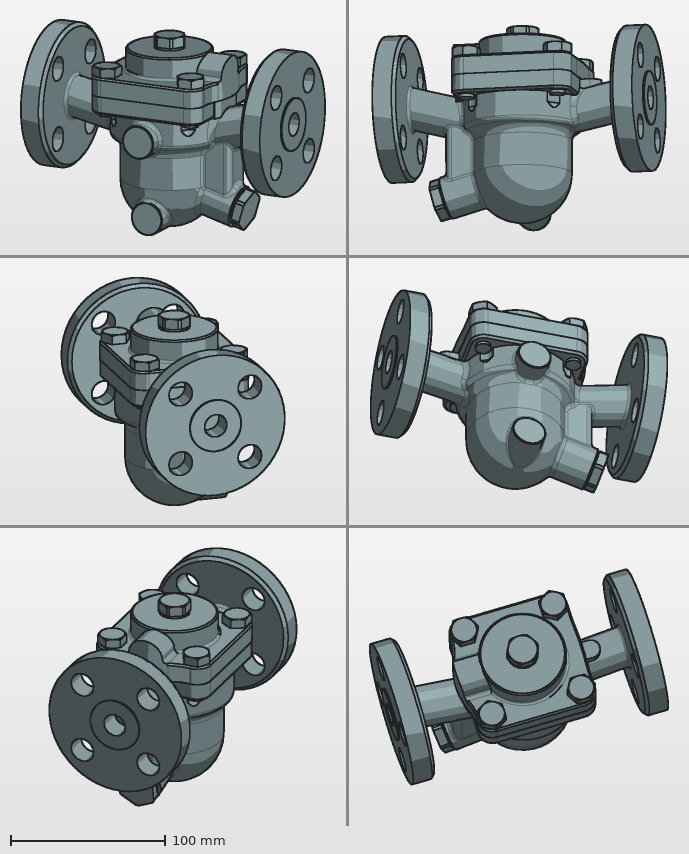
import cadquery as cq
import math

OVERALL_LENGTH = 175.0
FLANGE_DIAMETER = 95.0
FLANGE_THICKNESS = 15.0
FLANGE_CHAMFER = 2.3
RAISED_FACE_DIAMETER = 34.8
RAISED_FACE_HEIGHT = 1.0
BORE_DIAMETER = 15.0
FLANGE_HOLE_DIAMETER = 16.0
FLANGE_HOLE_OFFSET = 23.6

PIPE_DIAMETER = 27.0
INLET_SLOPE = 11.3
OUTLET_SLOPE = 14.5
PIPE_LENGTH = 49.0
PIPE_EMBED = 5.2
PIPE_FLANGE_FILLET = 2.0
PIPE_ROOT_NEAR_X = 21.0
PIPE_ROOT_FAR_X = 52.5
PIPE_BODY_FILLET = 4.4

AXIS_X = -2.5
NECK_RADIUS = 38.5
NECK_BOTTOM = -14.9
BOWL_RADIUS = 32.0
BOWL_TOP = -25.0
STEP_CONCAVE_SHARE = 0.66
DOME_BOTTOM = -78.4
DOME_CENTRE_Z = DOME_BOTTOM + BOWL_RADIUS

PLATE_BOTTOM = 1.4
PLATE_JOINT = 13.5
PLATE_TOP = 26.0
PLATE_HALF_X = 39.7
PLATE_HALF_Y = 40.2
PLATE_CORNER_RADIUS = 9.6
BODY_FLANGE_INSET = 0.2
COVER_CHAMFER = 1.2
BODY_FLANGE_CHAMFER = 1.5
COVER_BULGE_RADIUS = 45.2
BODY_BULGE_RADIUS = 43.2
BULGE_HALF_WIDTH = 15.4
FLARE_HALF_WIDTH = 29.8
COVER_BOW = 0.7
COVER_BOW_HALF_WIDTH = 17.5

BONNET_DIAMETER = 56.5
BONNET_TOP = 41.1
BONNET_FOOT_FILLET = 1.8
BONNET_EDGE_CHAMFER = 1.0
TOP_PLUG_DIAMETER = 21.0
TOP_PLUG_NECK_DIAMETER = 20.0
TOP_PLUG_BASE = 42.5
TOP_PLUG_ACROSS_FLATS = 19.0
TOP_PLUG_TURN = 32.0
TOP_PLUG_TOP = 49.5
RIDGE_RADIUS = 12.0
RIDGE_TOP = 40.6
RIDGE_FOOT_FILLET = 3.0

HEAD_BEVEL_ANGLE = 30.0

BOLT_OFFSET = 30.3
BOLT_HEAD_ACROSS_FLATS = 16.5
BOLT_HEAD_HEIGHT = 6.3
BOLT_DIAMETER = 10.0
BOLT_END = -0.9
RELIEF_RADIUS = 6.6
RELIEF_SHOULDER = -5.2
RELIEF_TIP = -15.8
BOLTS = ((-1, -1, 0), (1, -1, 30), (-1, 1, 30), (1, 1, 0))

BOSS_DIAMETER = 22.0
BOSS_CHAMFER = 0.5
UPPER_BOSS_Z = -11.9
UPPER_BOSS_FACE_Y = -46.2
UPPER_BOSS_FILLET = 2.6
LOWER_BOSS_Z = -66.3
LOWER_BOSS_FACE_Y = -33.5
LOWER_BOSS_FILLET = 2.5

STRAINER_DIAMETER = 28.0
STRAINER_SLOPE = 15.0
STRAINER_END_X = 48.0
STRAINER_END_Z = -60.0
STRAINER_LENGTH = 42.0
STRAINER_FILLET = 3.5
SEAL_DIAMETER = 23.8
SEAL_THICKNESS = 1.2
STRAINER_PLUG_ACROSS_FLATS = 24.3
STRAINER_PLUG_DIAMETER = 27.0
STRAINER_PLUG_THICKNESS = 6.3
STRAINER_PLUG_TURN = -3.0
RIB_END_X = 46.7
RIB_HALF_WIDTH = 11.7
RIB_CORNER_RADIUS = 4.4
RIB_ROOT_X = 8.8
RIB_FILLET = 3.0

LUG_END_X = -54.8
LUG_WIDTH = 12.2
LUG_TOP = 13.1
LUG_BOTTOM = 0.0

FLANGE_BACK_X = OVERALL_LENGTH / 2 - RAISED_FACE_HEIGHT - FLANGE_THICKNESS
PIPE_RADIUS = PIPE_DIAMETER / 2
BOSS_RADIUS = BOSS_DIAMETER / 2
STRAINER_RADIUS = STRAINER_DIAMETER / 2
MARGIN = 0.2


def upright(z):
    """Horizontal workplane on the body axis at height z."""
    return cq.Workplane("XY", origin=(AXIS_X, 0, z))


def inclined(x, z, slope, side):
    """Workplane at (x, z), facing along side * X and dropped by slope degrees."""
    drop = math.radians(slope)
    normal = (side * math.cos(drop), 0, -math.sin(drop))
    return cq.Workplane(cq.Plane(origin=(x, 0, z), xDir=(0, 1, 0), normal=normal))


def edges_inside(low, high):
    """Selector for the edges that lie wholly inside a box."""
    return cq.selectors.BoxSelector(low, high, boundingbox=True)


def bowl_and_neck():
    """Spherical-bottomed bowl that swells into the neck through two opposed arcs."""
    step_width = NECK_RADIUS - BOWL_RADIUS
    step_height = NECK_BOTTOM - BOWL_TOP
    diagonal = BOWL_RADIUS * math.sqrt(0.5)
    mid_radius = BOWL_RADIUS + STEP_CONCAVE_SHARE * step_width
    mid_z = BOWL_TOP + STEP_CONCAVE_SHARE * step_height
    profile = (
        cq.Workplane("XZ", origin=(AXIS_X, 0, 0))
        .moveTo(0, DOME_BOTTOM)
        .threePointArc((diagonal, DOME_CENTRE_Z - diagonal), (BOWL_RADIUS, DOME_CENTRE_Z))
        .lineTo(BOWL_RADIUS, BOWL_TOP)
        .tangentArcPoint((mid_radius, mid_z), relative=False)
        .tangentArcPoint((NECK_RADIUS, NECK_BOTTOM), relative=False)
        .lineTo(NECK_RADIUS, PLATE_JOINT)
        .lineTo(0, PLATE_JOINT)
        .close()
    )
    return profile.revolve(360, (0, 0, 0), (0, 1, 0))


def add_pipe(body, side, slope):
    """Pipe from a flange down into the neck, with a fillet around its root."""
    start = inclined(side * FLANGE_BACK_X, 0, slope, -side).workplane(offset=-PIPE_EMBED)
    pipe = start.circle(PIPE_RADIUS).extrude(PIPE_EMBED + PIPE_LENGTH)
    near, far = sorted((side * PIPE_ROOT_NEAR_X, side * PIPE_ROOT_FAR_X))
    reach = PIPE_RADIUS + MARGIN
    root = edges_inside((near, -reach, DOME_CENTRE_Z), (far, reach, PLATE_JOINT - MARGIN))
    return body.union(pipe).edges(root).fillet(PIPE_BODY_FILLET)


def add_rib(body):
    """Upright rib between the outlet pipe axis and the strainer axis."""

    def pipe_axis_z(x):
        return (x - FLANGE_BACK_X) * math.tan(math.radians(OUTLET_SLOPE))

    def strainer_axis_z(x):
        return STRAINER_END_Z - (x - STRAINER_END_X) * math.tan(math.radians(STRAINER_SLOPE))

    rib = (
        cq.Workplane("XZ", origin=(0, RIB_HALF_WIDTH, 0))
        .moveTo(RIB_ROOT_X, pipe_axis_z(RIB_ROOT_X))
        .lineTo(RIB_END_X, pipe_axis_z(RIB_END_X))
        .lineTo(RIB_END_X, strainer_axis_z(RIB_END_X))
        .lineTo(RIB_ROOT_X, strainer_axis_z(RIB_ROOT_X))
        .close()
        .extrude(2 * RIB_HALF_WIDTH)
        .edges("|Z and >X")
        .fillet(RIB_CORNER_RADIUS)
    )
    reach = RIB_HALF_WIDTH + MARGIN
    root_top = pipe_axis_z(RIB_END_X) + MARGIN
    root_bottom = strainer_axis_z(RIB_ROOT_X)
    root = edges_inside((RIB_ROOT_X, -reach, root_bottom), (RIB_END_X + MARGIN, reach, root_top))
    return body.union(rib).edges(root).fillet(RIB_FILLET)


def add_strainer_neck(body):
    """Inclined strainer neck, filleted into the bowl and the rib."""
    end = inclined(STRAINER_END_X, STRAINER_END_Z, STRAINER_SLOPE, 1)
    neck = end.circle(STRAINER_RADIUS).extrude(-STRAINER_LENGTH)
    reach = STRAINER_RADIUS + RIB_FILLET
    root_top = STRAINER_END_Z + STRAINER_RADIUS + RIB_FILLET
    root = edges_inside((RIB_ROOT_X, -reach, DOME_BOTTOM), (RIB_END_X + MARGIN, reach, root_top))
    return body.union(neck).edges(root).fillet(STRAINER_FILLET)


def add_boss(body, z, face_y, root_fillet):
    """Round boss facing -Y, chamfered at its face and filleted into the body."""
    boss = cq.Workplane("XZ", origin=(AXIS_X, face_y, z)).circle(BOSS_RADIUS).extrude(face_y)
    boss = boss.faces("<Y").edges().chamfer(BOSS_CHAMFER)
    reach = BOSS_RADIUS + MARGIN
    front = face_y + BOSS_CHAMFER + MARGIN
    root = edges_inside((AXIS_X - reach, front, z - reach), (AXIS_X + reach, 0, z + reach))
    return body.union(boss).edges(root).fillet(root_fillet)


def body_flange():
    """Lower plate, chamfered underneath, with a round bulge over the outlet."""
    height = PLATE_JOINT - PLATE_BOTTOM
    size_x = 2 * (PLATE_HALF_X - BODY_FLANGE_INSET)
    size_y = 2 * (PLATE_HALF_Y - BODY_FLANGE_INSET)
    square = upright(PLATE_BOTTOM).rect(size_x, size_y).extrude(height)
    square = square.edges("|Z").fillet(PLATE_CORNER_RADIUS)
    square = square.faces("<Z").edges().chamfer(BODY_FLANGE_CHAMFER)
    bulge = upright(PLATE_BOTTOM).circle(BODY_BULGE_RADIUS).extrude(height)
    outlet_side = (
        upright(PLATE_BOTTOM)
        .center(BODY_BULGE_RADIUS / 2, 0)
        .rect(BODY_BULGE_RADIUS, 2 * BULGE_HALF_WIDTH)
        .extrude(height)
    )
    return square.union(bulge.intersect(outlet_side))


def cover():
    """Upper plate: bulged and flared over the outlet, slightly bowed over the inlet."""
    bulge_x = math.sqrt(COVER_BULGE_RADIUS**2 - BULGE_HALF_WIDTH**2)
    flare_rise = FLARE_HALF_WIDTH - BULGE_HALF_WIDTH
    flare_depth = bulge_x - PLATE_HALF_X
    flare_radius = (flare_rise**2 + flare_depth**2) / (2 * flare_depth)
    corner_x = PLATE_HALF_X - PLATE_CORNER_RADIUS
    corner_y = PLATE_HALF_Y - PLATE_CORNER_RADIUS
    solid = (
        upright(PLATE_JOINT)
        .moveTo(-corner_x, -PLATE_HALF_Y)
        .lineTo(corner_x, -PLATE_HALF_Y)
        .radiusArc((PLATE_HALF_X, -corner_y), -PLATE_CORNER_RADIUS)
        .lineTo(PLATE_HALF_X, -FLARE_HALF_WIDTH)
        .radiusArc((bulge_x, -BULGE_HALF_WIDTH), flare_radius)
        .threePointArc((COVER_BULGE_RADIUS, 0), (bulge_x, BULGE_HALF_WIDTH))
        .radiusArc((PLATE_HALF_X, FLARE_HALF_WIDTH), flare_radius)
        .lineTo(PLATE_HALF_X, corner_y)
        .radiusArc((corner_x, PLATE_HALF_Y), -PLATE_CORNER_RADIUS)
        .lineTo(-corner_x, PLATE_HALF_Y)
        .radiusArc((-PLATE_HALF_X, corner_y), -PLATE_CORNER_RADIUS)
        .lineTo(-PLATE_HALF_X, COVER_BOW_HALF_WIDTH)
        .threePointArc((-PLATE_HALF_X - COVER_BOW, 0), (-PLATE_HALF_X, -COVER_BOW_HALF_WIDTH))
        .lineTo(-PLATE_HALF_X, -corner_y)
        .radiusArc((-corner_x, -PLATE_HALF_Y), -PLATE_CORNER_RADIUS)
        .close()
        .extrude(PLATE_TOP - PLATE_JOINT)
    )
    return solid.faces(">Z").edges().chamfer(COVER_CHAMFER)


def bonnet():
    """Round bonnet with a concave foot, bevelled on top."""
    radius = BONNET_DIAMETER / 2
    foot_top = PLATE_TOP + BONNET_FOOT_FILLET
    foot_radius = radius + BONNET_FOOT_FILLET
    profile = (
        cq.Workplane("XZ", origin=(AXIS_X, 0, 0))
        .moveTo(0, PLATE_JOINT)
        .lineTo(foot_radius, PLATE_JOINT)
        .lineTo(foot_radius, PLATE_TOP)
        .radiusArc((radius, foot_top), BONNET_FOOT_FILLET)
        .lineTo(radius, BONNET_TOP - BONNET_EDGE_CHAMFER)
        .lineTo(radius - BONNET_EDGE_CHAMFER, BONNET_TOP)
        .lineTo(0, BONNET_TOP)
        .close()
    )
    return profile.revolve(360, (0, 0, 0), (0, 1, 0))


def ridge():
    """Round-topped ridge from the bonnet to the outlet bulge, flared at its foot."""
    foot_half_width = RIDGE_RADIUS + RIDGE_FOOT_FILLET
    foot_top = PLATE_TOP + RIDGE_FOOT_FILLET
    bar = (
        cq.Workplane("YZ", origin=(AXIS_X, 0, 0))
        .moveTo(-foot_half_width, PLATE_JOINT)
        .lineTo(-foot_half_width, PLATE_TOP)
        .radiusArc((-RIDGE_RADIUS, foot_top), -RIDGE_FOOT_FILLET)
        .threePointArc((0, RIDGE_TOP), (RIDGE_RADIUS, foot_top))
        .radiusArc((foot_half_width, PLATE_TOP), -RIDGE_FOOT_FILLET)
        .lineTo(foot_half_width, PLATE_JOINT)
        .close()
        .extrude(COVER_BULGE_RADIUS)
    )
    limit = upright(PLATE_JOINT).circle(COVER_BULGE_RADIUS).extrude(RIDGE_TOP - PLATE_JOINT)
    return bar.intersect(limit)


def hexagon_head(base, across_flats, diameter, height, turn):
    """Hexagon with corners turned to a diameter and a bevel whose top circle touches the flats."""
    prism = base.transformed(rotate=(0, 0, turn)).polygon(6, across_flats, circumscribed=True)
    prism = prism.extrude(height)
    bevel_width = (diameter - across_flats) / 2
    bevel_depth = bevel_width * math.tan(math.radians(HEAD_BEVEL_ANGLE))
    turned = base.circle(diameter / 2).extrude(height)
    turned = turned.faces(">Z").edges().chamfer(bevel_depth, bevel_width)
    return prism.intersect(turned)


def top_plug():
    """Hexagon plug standing on the bonnet on a round neck."""
    neck = upright(PLATE_TOP).circle(TOP_PLUG_NECK_DIAMETER / 2).extrude(TOP_PLUG_BASE - PLATE_TOP)
    height = TOP_PLUG_TOP - TOP_PLUG_BASE
    head = hexagon_head(
        upright(TOP_PLUG_BASE), TOP_PLUG_ACROSS_FLATS, TOP_PLUG_DIAMETER, height, TOP_PLUG_TURN
    )
    return neck.union(head)


def bolt(x_side, y_side, turn):
    """Cover bolt: a hexagon head above the plates and a shank end below them."""
    x = x_side * BOLT_OFFSET
    y = y_side * BOLT_OFFSET
    shank = upright(BOLT_END).center(x, y).circle(BOLT_DIAMETER / 2).extrude(PLATE_TOP - BOLT_END)
    seat = upright(PLATE_TOP).center(x, y)
    across_corners = BOLT_HEAD_ACROSS_FLATS / math.cos(math.pi / 6)
    head = hexagon_head(seat, BOLT_HEAD_ACROSS_FLATS, across_corners, BOLT_HEAD_HEIGHT, turn)
    return shank.union(head)


def bolt_relief(x_side, y_side):
    """Drill-shaped cutter that clears the neck wall around the end of a cover bolt."""
    cutter = (
        cq.Workplane("XZ", origin=(AXIS_X + x_side * BOLT_OFFSET, y_side * BOLT_OFFSET, 0))
        .moveTo(0, PLATE_BOTTOM)
        .lineTo(RELIEF_RADIUS, PLATE_BOTTOM)
        .lineTo(RELIEF_RADIUS, RELIEF_SHOULDER)
        .lineTo(0, RELIEF_TIP)
        .close()
    )
    return cutter.revolve(360, (0, 0, 0), (0, 1, 0))


def strainer_plug():
    """Hexagon plug on a thin seal at the end of the strainer neck."""
    end = inclined(STRAINER_END_X, STRAINER_END_Z, STRAINER_SLOPE, 1)
    seal = end.circle(SEAL_DIAMETER / 2).extrude(SEAL_THICKNESS)
    base = end.workplane(offset=SEAL_THICKNESS)
    head = base.transformed(rotate=(0, 0, STRAINER_PLUG_TURN))
    head = head.polygon(6, STRAINER_PLUG_ACROSS_FLATS, circumscribed=True)
    head = head.extrude(STRAINER_PLUG_THICKNESS)
    turned = base.circle(STRAINER_PLUG_DIAMETER / 2).extrude(STRAINER_PLUG_THICKNESS)
    return seal.union(head.intersect(turned))


def lug():
    """Round-ended lug standing on the inlet pipe against the body flange."""
    end_radius = LUG_WIDTH / 2
    straight_x = LUG_END_X + end_radius
    bar = (
        cq.Workplane("XY", origin=(0, 0, LUG_BOTTOM))
        .moveTo(AXIS_X, -end_radius)
        .lineTo(straight_x, -end_radius)
        .threePointArc((LUG_END_X, 0), (straight_x, end_radius))
        .lineTo(AXIS_X, end_radius)
        .close()
    )
    return bar.extrude(LUG_TOP - LUG_BOTTOM)


def add_flange(body, side):
    """Pipe flange with a raised face, bolt holes, a blind bore and a fillet around the pipe."""
    back = cq.Workplane("YZ", origin=(side * FLANGE_BACK_X, 0, 0))
    disc = back.circle(FLANGE_DIAMETER / 2).extrude(side * FLANGE_THICKNESS)
    disc = disc.edges("<X" if side > 0 else ">X").chamfer(FLANGE_CHAMFER)
    full_depth = side * (FLANGE_THICKNESS + RAISED_FACE_HEIGHT)
    raised = back.circle(RAISED_FACE_DIAMETER / 2).extrude(full_depth)
    holes = (
        back.rect(2 * FLANGE_HOLE_OFFSET, 2 * FLANGE_HOLE_OFFSET, forConstruction=True)
        .vertices()
        .circle(FLANGE_HOLE_DIAMETER / 2)
        .extrude(side * FLANGE_THICKNESS)
    )
    bore = back.circle(BORE_DIAMETER / 2).extrude(full_depth)
    reach = RAISED_FACE_DIAMETER / 2
    near, far = sorted((side * (FLANGE_BACK_X - MARGIN), side * (FLANGE_BACK_X + MARGIN)))
    joint = edges_inside((near, -reach, -reach), (far, reach, reach))
    joined = body.union(disc.union(raised).cut(holes))
    return joined.edges(joint).fillet(PIPE_FLANGE_FILLET).cut(bore)


casting = bowl_and_neck()
casting = add_pipe(casting, -1, INLET_SLOPE)
casting = add_pipe(casting, 1, OUTLET_SLOPE)
casting = add_rib(casting)
casting = add_strainer_neck(casting)
casting = add_boss(casting, UPPER_BOSS_Z, UPPER_BOSS_FACE_Y, UPPER_BOSS_FILLET)
casting = add_boss(casting, LOWER_BOSS_Z, LOWER_BOSS_FACE_Y, LOWER_BOSS_FILLET)
for x_side, y_side, turn in BOLTS:
    casting = casting.cut(bolt_relief(x_side, y_side))

result = casting.union(lug()).union(body_flange()).union(cover())
result = result.union(bonnet()).union(ridge()).union(top_plug()).union(strainer_plug())
for x_side, y_side, turn in BOLTS:
    result = result.union(bolt(x_side, y_side, turn))
for side in (-1, 1):
    result = add_flange(result, side)